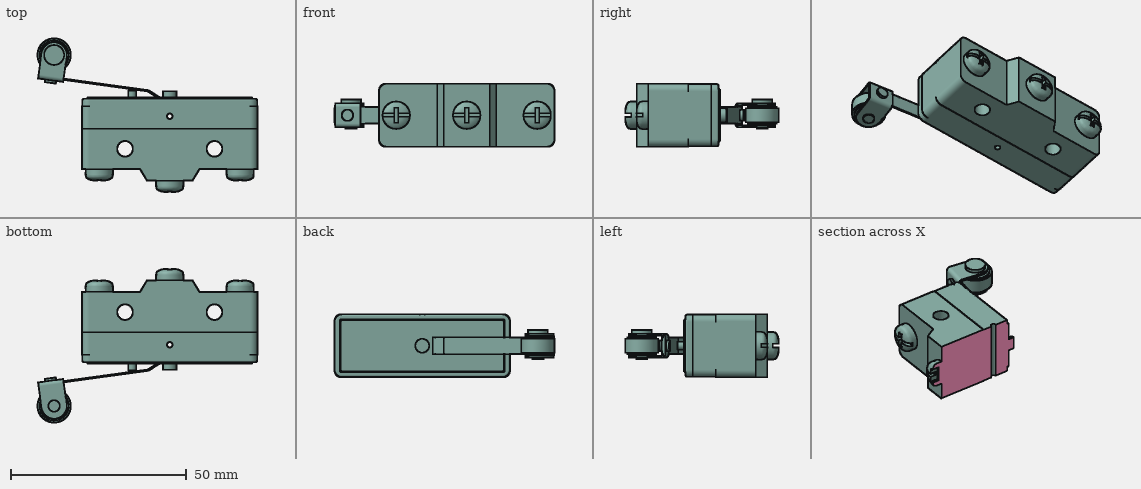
import cadquery as cq
import math


CASE_LENGTH = 50.0
CASE_THICKNESS = 18.0
CORNER_RADIUS = 2.0
BASE_TOP = 11.45
COVER_TOP = 17.9
LID_TOP = 20.05
COVER_INSET = 0.1
LID_EDGE_RADIUS = 0.55
PLATE_MARGIN = 1.4
PLATE_HEIGHT = 0.45
PLATE_CORNER_RADIUS = 0.6
PLATE_CHAMFER = 0.3

BLOCK_HEIGHT = 3.25
BLOCK_ROOT_LENGTH = 16.9
BLOCK_TOP_LENGTH = 13.0

MOUNT_DIAMETER = 4.4
MOUNT_SPACING = 25.4
MOUNT_Y = 5.75
PIN_HOLE_DIAMETER = 1.5
PIN_HOLE_Y = 15.0

SCREW_SPACING = 20.05
SCREW_DIAMETER = 7.8
SCREW_HEIGHT = 3.3
SCREW_RIM_HEIGHT = 1.7
SCREW_SHOULDER_X = 3.15
SCREW_SHOULDER_HEIGHT = 2.8
SLOT_WIDTH = 1.0
SLOT_DEPTH = 1.75
CROSS_SLOT_WIDTH = 1.25
CROSS_SLOT_LENGTH = 4.4
CROSS_SLOT_DEPTH = 2.4

PLUNGER_X = -10.65
PLUNGER_DIAMETER = 2.3
PLUNGER_TOP = 22.4
PLUNGER_CHAMFER = 0.2
BUTTON_DIAMETER = 3.95
BUTTON_TOP = 22.2
BUTTON_EDGE_RADIUS = 0.2

ROLLER_X = -32.9
ROLLER_Y = 32.45
ROLLER_DIAMETER = 9.5
ROLLER_WIDTH = 4.0
HUB_DIAMETER = 8.25
HUB_WIDTH = 4.9
AXLE_DIAMETER = 2.9
AXLE_HEAD_DIAMETER = 5.7
AXLE_HEAD_HEIGHT = 1.0
AXLE_TAIL_DIAMETER = 3.25
AXLE_TAIL_HEIGHT = 0.4
BRACKET_LENGTH = 7.25
BRACKET_WIDTH = 6.95
BRACKET_GAUGE = 0.6
BRACKET_BEND_RADIUS = 1.1
BRACKET_DROP = 7.25

LEVER_TILT = 7.8
LEVER_END_TILT = 32.0
LEVER_WIDTH = 4.8
LEVER_GAUGE = 0.4
LEVER_BEND_X = -6.1
LEVER_BURIED_DEPTH = 0.25

RIVET_DIAMETER = 3.25
RIVET_OUTER_HEIGHT = 0.75
RIVET_INNER_HEIGHT = 1.0


def along_y(start_y):
    """Workplane at start_y whose normal is +Y, with local x along +X."""
    return cq.Workplane("XZ", origin=(0, start_y, 0)).transformed(rotate=(180, 0, 0))


def rounded_block(start_y, end_y, length, thickness, radius):
    """Block between two Y levels with its four Y-direction edges rounded."""
    block = along_y(start_y).rect(length, thickness).extrude(end_y - start_y)
    return block.edges("|Y").fillet(radius)


def disc_y(x, start_y, end_y, diameter):
    """Disc about the Y direction between two Y levels."""
    return along_y(start_y).center(x, 0).circle(diameter / 2).extrude(end_y - start_y)


def centred_disc(diameter, width):
    """Disc about the local Z axis, centred on the XY plane."""
    return cq.Workplane("XY").circle(diameter / 2).extrude(width / 2, both=True)


def make_case():
    lid_length = CASE_LENGTH - 2 * COVER_INSET
    lid_thickness = CASE_THICKNESS - 2 * COVER_INSET
    base = rounded_block(0, BASE_TOP, CASE_LENGTH, CASE_THICKNESS, CORNER_RADIUS)
    cover = rounded_block(BASE_TOP, COVER_TOP, CASE_LENGTH, lid_thickness, CORNER_RADIUS)
    lid = rounded_block(COVER_TOP, LID_TOP, lid_length, lid_thickness, CORNER_RADIUS)
    lid = lid.faces(">Y").edges().fillet(LID_EDGE_RADIUS)
    plate = rounded_block(
        LID_TOP,
        LID_TOP + PLATE_HEIGHT,
        lid_length - 2 * PLATE_MARGIN,
        lid_thickness - 2 * PLATE_MARGIN,
        PLATE_CORNER_RADIUS,
    )
    plate = plate.faces(">Y").edges().chamfer(PLATE_CHAMFER)
    block = (
        cq.Workplane("XY")
        .moveTo(-BLOCK_ROOT_LENGTH / 2, 0)
        .lineTo(-BLOCK_TOP_LENGTH / 2, -BLOCK_HEIGHT)
        .lineTo(BLOCK_TOP_LENGTH / 2, -BLOCK_HEIGHT)
        .lineTo(BLOCK_ROOT_LENGTH / 2, 0)
        .close()
        .extrude(CASE_THICKNESS / 2, both=True)
    )
    case = base.union(cover).union(lid).union(plate).union(block)
    for x in (-MOUNT_SPACING / 2, MOUNT_SPACING / 2):
        case = case.cut(centred_disc(MOUNT_DIAMETER, CASE_THICKNESS).translate((x, MOUNT_Y, 0)))
    return case.cut(centred_disc(PIN_HOLE_DIAMETER, CASE_THICKNESS).translate((0, PIN_HOLE_Y, 0)))


def make_screw(x, seat_y):
    """Domed screw head pointing to -Y, with a long slot crossed by a short, deeper one."""
    radius = SCREW_DIAMETER / 2
    dome = [(SCREW_SHOULDER_X, -SCREW_SHOULDER_HEIGHT), (0, -SCREW_HEIGHT)]
    head = (
        cq.Workplane("XY")
        .lineTo(radius, 0)
        .lineTo(radius, -SCREW_RIM_HEIGHT)
        .spline(dome, tangents=[(0, -1), (-1, 0)], includeCurrent=True)
        .close()
        .revolve(360, (0, 0, 0), (0, 1, 0))
    )
    slot = cq.Workplane("XY").box(SCREW_DIAMETER, SLOT_DEPTH, SLOT_WIDTH)
    cross_slot = cq.Workplane("XY").box(CROSS_SLOT_WIDTH, CROSS_SLOT_DEPTH, CROSS_SLOT_LENGTH)
    head = head.cut(slot.translate((0, SLOT_DEPTH / 2 - SCREW_HEIGHT, 0)))
    head = head.cut(cross_slot.translate((0, CROSS_SLOT_DEPTH / 2 - SCREW_HEIGHT, 0)))
    return head.translate((x, seat_y, 0))


def make_buttons():
    plunger = disc_y(PLUNGER_X, LID_TOP, PLUNGER_TOP, PLUNGER_DIAMETER)
    plunger = plunger.faces(">Y").chamfer(PLUNGER_CHAMFER)
    button = disc_y(0, LID_TOP, BUTTON_TOP, BUTTON_DIAMETER)
    button = button.faces(">Y").edges().fillet(BUTTON_EDGE_RADIUS)
    return plunger.union(button)


def make_roller():
    """Roller on its headed axle, about the local Z axis."""
    half_width = BRACKET_WIDTH / 2
    roller = centred_disc(ROLLER_DIAMETER, ROLLER_WIDTH).union(centred_disc(HUB_DIAMETER, HUB_WIDTH))
    axle = centred_disc(AXLE_DIAMETER, BRACKET_WIDTH)
    head = cq.Workplane("XY", origin=(0, 0, half_width)).circle(AXLE_HEAD_DIAMETER / 2)
    tail = cq.Workplane("XY", origin=(0, 0, -half_width)).circle(AXLE_TAIL_DIAMETER / 2)
    return roller.union(axle).union(head.extrude(AXLE_HEAD_HEIGHT)).union(tail.extrude(-AXLE_TAIL_HEIGHT))


def make_bracket():
    """U-shaped bracket with round leg ends about the roller axis and its floor towards -Y."""
    half_length = BRACKET_LENGTH / 2
    inner_width = BRACKET_WIDTH - 2 * BRACKET_GAUGE
    legs = (
        cq.Workplane("XY")
        .moveTo(-half_length, -BRACKET_DROP)
        .lineTo(half_length, -BRACKET_DROP)
        .lineTo(half_length, 0)
        .threePointArc((0, half_length), (-half_length, 0))
        .close()
        .extrude(BRACKET_WIDTH / 2, both=True)
    )
    legs = legs.faces("<Y").edges("|X").fillet(BRACKET_BEND_RADIUS)
    gap_height = BRACKET_DROP - BRACKET_GAUGE + half_length
    gap = cq.Workplane("XY").box(BRACKET_LENGTH, gap_height, inner_width)
    gap = gap.edges("|X and <Y").fillet(BRACKET_BEND_RADIUS - BRACKET_GAUGE)
    return legs.cut(gap.translate((0, half_length - gap_height / 2, 0)))


def make_rivet():
    """Rivet through the bracket floor and the lever, with a head on either side."""
    outer_end = -BRACKET_DROP - RIVET_OUTER_HEIGHT
    inner_end = -BRACKET_DROP + BRACKET_GAUGE + LEVER_GAUGE + RIVET_INNER_HEIGHT
    return disc_y(0, outer_end, inner_end, RIVET_DIAMETER)


def make_lever():
    """Bent strip lying on the bracket floor and running down into the lid."""
    tilt = math.radians(LEVER_TILT)
    end_tilt = math.radians(LEVER_END_TILT)
    top_offset = BRACKET_DROP - BRACKET_GAUGE - LEVER_GAUGE
    half_length = BRACKET_LENGTH / 2
    start_x = ROLLER_X - half_length * math.cos(tilt) - top_offset * math.sin(tilt)
    start_y = ROLLER_Y + half_length * math.sin(tilt) - top_offset * math.cos(tilt)
    bend_y = start_y - (LEVER_BEND_X - start_x) * math.tan(tilt)
    end_y = LID_TOP - LEVER_BURIED_DEPTH
    end_x = LEVER_BEND_X + (bend_y - end_y) / math.tan(end_tilt)
    upper_edge = cq.Workplane("XY").polyline([(start_x, start_y), (LEVER_BEND_X, bend_y), (end_x, end_y)])
    mitre = (tilt + end_tilt) / 2
    mitre_length = LEVER_GAUGE / math.cos((end_tilt - tilt) / 2)
    return (
        upper_edge
        .lineTo(end_x - LEVER_GAUGE * math.sin(end_tilt), end_y - LEVER_GAUGE * math.cos(end_tilt))
        .lineTo(LEVER_BEND_X - mitre_length * math.sin(mitre), bend_y - mitre_length * math.cos(mitre))
        .lineTo(start_x - LEVER_GAUGE * math.sin(tilt), start_y - LEVER_GAUGE * math.cos(tilt))
        .close()
        .extrude(LEVER_WIDTH / 2, both=True)
    )


roller_end = make_roller().union(make_bracket()).union(make_rivet())
roller_end = roller_end.rotate((0, 0, 0), (0, 0, 1), -LEVER_TILT).translate((ROLLER_X, ROLLER_Y, 0))

result = make_case().union(make_buttons())
for screw_x, seat_y in ((-SCREW_SPACING, 0), (0, -BLOCK_HEIGHT), (SCREW_SPACING, 0)):
    result = result.union(make_screw(screw_x, seat_y))
result = result.union(make_lever()).union(roller_end)